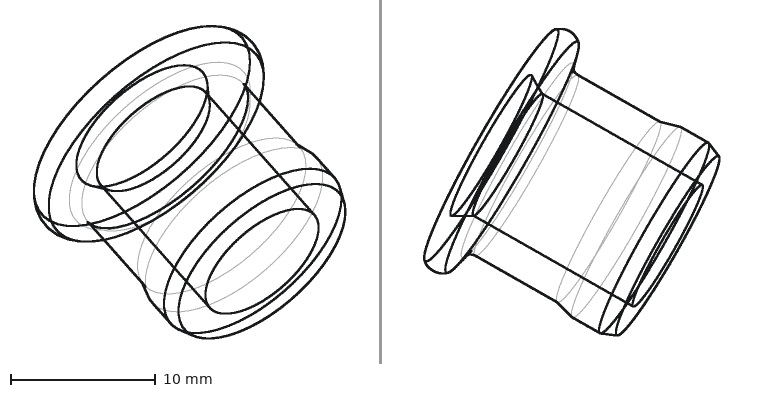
import cadquery as cq
import math

length = 14.1
rim_crest_x = 0.85
rim_end_x = 1.68
neck_end_x = 2.82
bead_ramp_start_x = 9.37
bead_start_x = 10.8
bead_end_x = 13.01
countersink_depth = 1.33

flange_radius = 19.05 / 2
flange_face_radius = 9.22
rim_end_radius = 9.18
barrel_radius = 14.36 / 2
bead_radius = 15.15 / 2
tip_radius = 7.12
bore_radius = 9.65 / 2
countersink_radius = 11.2 / 2

neck_fillet = 0.75
flange_back_angle = math.radians(75)


def neck_point(angle):
    """Point on the neck fillet where its slope makes this angle with the axis."""
    x = neck_end_x - neck_fillet * math.sin(angle)
    radius = barrel_radius + neck_fillet * (1 - math.cos(angle))
    return x, radius


section = (
    cq.Workplane("XY")
    .moveTo(0, countersink_radius)
    .lineTo(0, flange_face_radius)
    .threePointArc((rim_crest_x, flange_radius), (rim_end_x, rim_end_radius))
    .lineTo(*neck_point(flange_back_angle))
    .threePointArc(neck_point(flange_back_angle / 2), neck_point(0))
    .lineTo(bead_ramp_start_x, barrel_radius)
    .lineTo(bead_start_x, bead_radius)
    .lineTo(bead_end_x, bead_radius)
    .lineTo(length, tip_radius)
    .lineTo(length, bore_radius)
    .lineTo(countersink_depth, bore_radius)
    .close()
)

result = section.revolve(360, (0, 0, 0), (1, 0, 0))